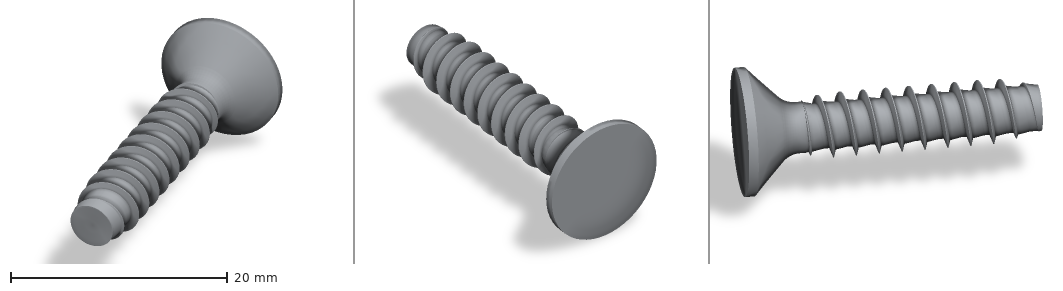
import cadquery as cq
import math

length = 28.0

head_radius = 12.0 / 2
rim_depth = 0.9
cone_end_depth = 3.78
cone_end_radius = 3.05
neck_start_depth = 5.43
neck_radius = 2.38
neck_end_depth = 5.95

core_radius = 2.13
shank_start_depth = 6.92
tip_dent_radius = 2.05
tip_dent_depth = 0.2

start_angle = math.radians(-90)
start_depth = 4.45
end_depth = 27.97
thread_turns = 11
pitch = (end_depth - start_depth) / thread_turns
spans_per_turn = 2
points_per_span = 12
crest_radius = 6.02 / 2
start_crest_radius = 2.32
end_crest_radius = 2.13
lead_in_turns = 1.75
run_out_turns = 1.75

crest_half_width = 0.042
front_flank_width = 0.3
back_flank_width = 0.22
slope_length = 1.62
slope_rise = 0.18
root_radius = 2.07

flat_turns = 1.0
flattening_power = 3


def make_body():
    """Head, neck and cylindrical shank, turned about Y."""
    profile = (
        cq.Workplane("XY")
        .moveTo(0, 0)
        .lineTo(head_radius, 0)
        .lineTo(head_radius, -rim_depth)
        .lineTo(cone_end_radius, -cone_end_depth)
        .tangentArcPoint((neck_radius, -neck_start_depth), relative=False)
        .lineTo(neck_radius, -neck_end_depth)
        .lineTo(core_radius, -shank_start_depth)
        .lineTo(core_radius, -length)
        .lineTo(0, -length)
        .close()
    )
    return profile.revolve(360, (0, 0, 0), (0, 1, 0))


def make_tip_dent():
    """Shallow cone hollowed into the tip, leaving a narrow flat rim."""
    tip = cq.Vector(0, -length, 0)
    return cq.Solid.makeCone(tip_dent_radius, 0, tip_dent_depth, tip, cq.Vector(0, 1, 0))


def helix_depth(turn):
    return start_depth + pitch * turn


def crest_depth(turn):
    """Depth of the crest: a true helix after the flattened start."""
    if turn >= flat_turns:
        return helix_depth(turn)
    rise = pitch * flat_turns / flattening_power
    lift = rise * (1 - (turn / flat_turns) ** flattening_power)
    return helix_depth(flat_turns) - lift


def crest_radius_at(turn):
    """Crest radius: it grows over the lead-in and shrinks over the run-out."""
    lead_in = turn / lead_in_turns
    run_out = (thread_turns - turn) / run_out_turns
    return min(
        crest_radius,
        start_crest_radius + (crest_radius - start_crest_radius) * lead_in,
        end_crest_radius + (crest_radius - end_crest_radius) * run_out,
    )


def tooth_section(turn):
    """Corners of the tooth at a given turn, as (depth, radius) pairs."""
    depth = crest_depth(turn)
    radius = crest_radius_at(turn)
    height = (radius - root_radius) / (crest_radius - root_radius)
    front_foot = depth - crest_half_width - front_flank_width * height
    back_foot = depth + crest_half_width + back_flank_width * height
    slope_end = helix_depth(turn) + slope_length
    back_radius = root_radius + slope_rise * (slope_end - back_foot)
    return [
        (front_foot, root_radius),
        (depth - crest_half_width, radius),
        (depth + crest_half_width, radius),
        (back_foot, min(back_radius, radius)),
        (slope_end, root_radius),
    ]


def section_points(turn):
    angle = start_angle + 2 * math.pi * turn
    return [
        cq.Vector(radius * math.cos(angle), -depth, radius * math.sin(angle))
        for depth, radius in tooth_section(turn)
    ]


def span_faces(first_turn, last_turn):
    """Ruled faces between the spirals that the tooth corners follow over one span."""
    step = (last_turn - first_turn) / points_per_span
    turns = [first_turn + step * index for index in range(points_per_span + 1)]
    corner_paths = zip(*[section_points(turn) for turn in turns])
    spirals = [cq.Edge.makeSpline(list(path), parameters=turns) for path in corner_paths]
    return [
        cq.Face.makeRuledSurface(spiral, spirals[index - 1])
        for index, spiral in enumerate(spirals)
    ]


def end_face(turn):
    outline = cq.Wire.makePolygon(section_points(turn), close=True)
    return cq.Face.makeFromWires(outline)


def make_thread():
    """Solid ridge built span by span and closed by a flat face at each end."""
    faces = [end_face(0), end_face(thread_turns)]
    for span in range(thread_turns * spans_per_turn):
        faces += span_faces(span / spans_per_turn, (span + 1) / spans_per_turn)
    return cq.Solid.makeSolid(cq.Shell.makeShell(faces))


def trim_thread(thread):
    """Keep the thread between the neck shoulder and the tip."""
    zone = (
        cq.Workplane("XZ", origin=(0, -neck_end_depth, 0))
        .circle(head_radius)
        .extrude(length - neck_end_depth)
    )
    return zone.intersect(cq.Workplane(thread))


body = make_body()
thread = trim_thread(make_thread())
result = body.union(thread).cut(cq.Workplane(make_tip_dent()))